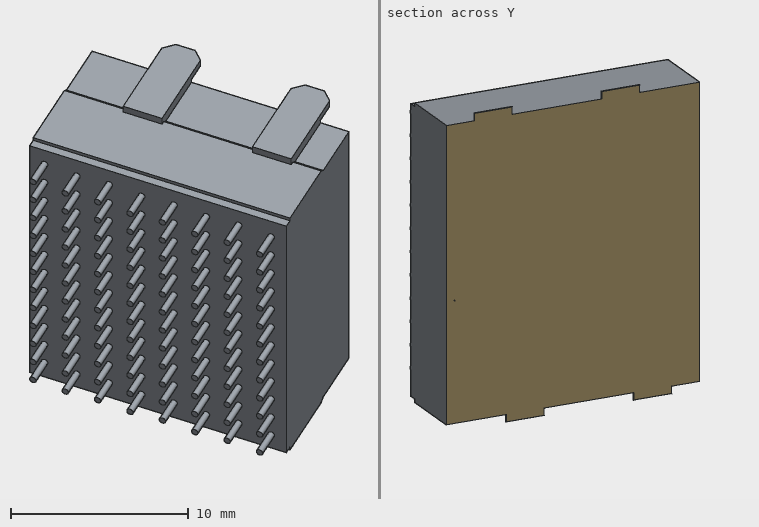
import cadquery as cq

body_width = 15.9
body_depth = 8.5
body_height = 18.01
step_depth = 0.5
relief_depth = 0.2
recess_front = 5.0
recess_ramp = 0.28

overall_height = 18.9
hook_width = 2.4
hook_front = 4.5
hook_overhang = 2.2
hook_pitch = 8.0
hook_row_center = 1.0
corner_cut = 0.96
tip_bevel_run = 0.35
tip_bevel_drop = 0.59
root_thickness = 0.96
tip_thickness = 0.77
root_undercut = 0.08
side_bevel_width = 0.4

pin_diameter = 0.4
pin_length = 1.6
pin_columns = 8
pin_rows = 12
column_pitch = 2.0
row_pitch = 1.4
column_stagger = 0.05

half_height = body_height / 2
relief_height = half_height - relief_depth
hook_top = overall_height / 2
hook_tip = body_depth + hook_overhang


def make_body():
    """Block with a stepped front edge and a recessed rear on its top and bottom."""
    upper_half = [
        (0, relief_height),
        (step_depth, relief_height),
        (step_depth, half_height),
        (recess_front - recess_ramp, half_height),
        (recess_front, relief_height),
        (body_depth, relief_height),
    ]
    lower_half = [(y, -z) for y, z in reversed(upper_half)]
    profile = cq.Workplane("YZ").polyline(upper_half + lower_half).close()
    return profile.extrude(body_width / 2, both=True)


def make_top_hook():
    """Latch hook of the top wall, centred on X = 0: a flat arm with a bevelled overhang."""
    half_width = hook_width / 2
    root_bottom = hook_top - root_thickness
    arm = (
        cq.Workplane("XY")
        .box(hook_width, body_depth - hook_front, hook_top - relief_height, centered=(True, False, False))
        .translate((0, hook_front, relief_height))
    )
    side = (
        cq.Workplane("YZ")
        .polyline([
            (body_depth, hook_top),
            (hook_tip - tip_bevel_run, hook_top),
            (hook_tip, hook_top - tip_bevel_drop),
            (hook_tip, hook_top - tip_thickness),
            (body_depth + root_undercut, root_bottom),
            (body_depth, root_bottom + root_undercut),
        ])
        .close()
        .extrude(half_width, both=True)
    )
    plan = (
        cq.Workplane("XY")
        .polyline([
            (-half_width, body_depth),
            (half_width, body_depth),
            (half_width, hook_tip - corner_cut),
            (half_width - corner_cut, hook_tip),
            (corner_cut - half_width, hook_tip),
            (-half_width, hook_tip - corner_cut),
        ])
        .close()
        .extrude(hook_top)
    )
    section = (
        cq.Workplane("XZ")
        .polyline([
            (-half_width, hook_top),
            (half_width, hook_top),
            (half_width, half_height),
            (half_width - side_bevel_width, root_bottom),
            (side_bevel_width - half_width, root_bottom),
            (-half_width, half_height),
        ])
        .close()
        .extrude(-hook_tip)
    )
    overhang = side.intersect(plan).intersect(section)
    return arm.union(overhang)


def make_pins():
    """Grid of round pins on the pin face, alternate columns staggered in Z."""
    centers = []
    for column in range(pin_columns):
        x = (column - (pin_columns - 1) / 2) * column_pitch
        shift = column_stagger if column % 2 == 0 else -column_stagger
        for row in range(pin_rows):
            z = (row - (pin_rows - 1) / 2) * row_pitch + shift
            centers.append((x, z))
    return cq.Workplane("XZ").pushPoints(centers).circle(pin_diameter / 2).extrude(pin_length)


result = make_body().union(make_pins())
top_hook = make_top_hook()
for side in (-1, 1):
    x = hook_row_center + side * hook_pitch / 2
    hook = top_hook.translate((x, 0, 0))
    opposite_hook = hook.rotate((0, 0, 0), (0, 1, 0), 180)
    result = result.union(hook).union(opposite_hook)